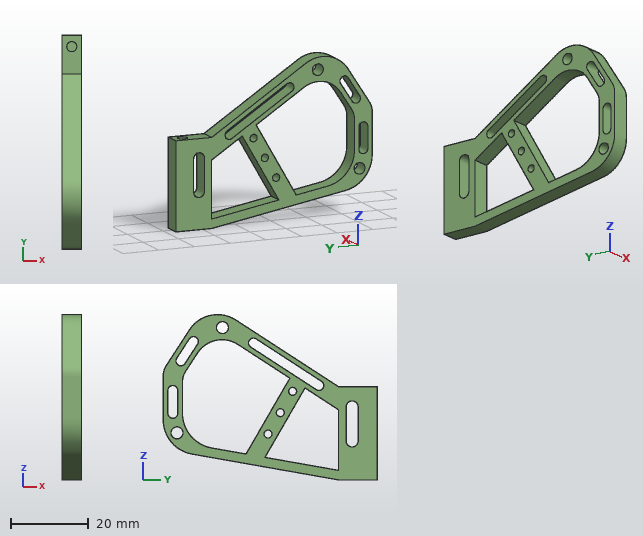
import cadquery as cq
import math

THICKNESS = 5.0
LENGTH = 55.0
MOUNT_DEPTH = 10.0
MOUNT_HEIGHT = 24.0
TOP_BAR_LENGTH = 40.0
TOP_BAR_ANGLE = 33.0
BOTTOM_BAR_ANGLE = 10.0
BAR_WIDTH = 5.0
BOTTOM_BAR_WIDTH = 2.5

APEX_RADIUS = 8.6
INNER_APEX_RADIUS = 7.5
HEEL_RADIUS = 9.0
NOSE_RADIUS = 5.0

BRACE_WIDTH = 4.7
BRACE_ANGLE = -60.0
BRACE_CENTER = (24.9, 17.25)
BRACE_REACH = 82.5
BRACE_HOLE_DIAMETER = 2.0
BRACE_HOLE_SPACING = 6.3

CORNER_HOLE_DIAMETER = 3.0
CORNER_HOLES = [(39.75, 39.1), (51.4, 12.1)]
BAR_SLOT_WIDTH = 2.5
TOP_SLOT_SPAN = (4.35, 24.35)
NOSE_SLOT_SPAN = (10.55, 16.5)
END_SLOT_HEIGHTS = (17.1, 23.0)
MOUNT_SLOT_WIDTH = 3.0
MOUNT_SLOT_DISTANCE = 6.5
MOUNT_SLOT_HEIGHTS = (10.0, 18.75)
MOUNT_HOLE_DIAMETER = 2.6
MOUNT_HOLE_DISTANCE = 2.95
MOUNT_HOLE_DEPTH = 10.0


def travel(point, angle, along, left=0.0):
    """Move from a point along a direction, then to the left of it."""
    a = math.radians(angle)
    return (
        point[0] + along * math.cos(a) - left * math.sin(a),
        point[1] + along * math.sin(a) + left * math.cos(a),
    )


def height_on_line(point, angle, distance):
    """Height of a sloping line at a given distance from the mounting face."""
    return point[1] + (distance - point[0]) * math.tan(math.radians(angle))


def extrude(sketch):
    """Extrude through the thickness, centered on X = 0."""
    return sketch.extrude(THICKNESS / 2, both=True)


def profile():
    return cq.Workplane(cq.Plane(origin=(0, 0, 0), xDir=(0, -1, 0), normal=(-1, 0, 0)))


def round_corner(body, corner, radius):
    """Round the edge along X that passes through a profile corner."""
    edge = cq.selectors.NearestToPointSelector((0, -corner[0], corner[1]))
    return body.edges("|X").edges(edge).fillet(radius)


def slot(start, end, width):
    """Round-ended slot between two end centers."""
    middle = ((start[0] + end[0]) / 2, (start[1] + end[1]) / 2)
    angle = math.degrees(math.atan2(end[1] - start[1], end[0] - start[0]))
    return extrude(profile().center(*middle).slot2D(math.dist(start, end) + width, width, angle))


def holes(centers, diameter):
    return extrude(profile().pushPoints(centers).circle(diameter / 2))


NOSE_ANGLE = TOP_BAR_ANGLE - 90
mount_top = (MOUNT_DEPTH, MOUNT_HEIGHT)
mount_bottom = (MOUNT_DEPTH, 0.0)
apex = travel(mount_top, TOP_BAR_ANGLE, TOP_BAR_LENGTH)


def outer_body():
    nose = (LENGTH, height_on_line(apex, NOSE_ANGLE, LENGTH))
    heel = (LENGTH, height_on_line(mount_bottom, BOTTOM_BAR_ANGLE, LENGTH))
    outline = [(0, 0), mount_bottom, heel, nose, apex, mount_top, (0, MOUNT_HEIGHT)]
    body = extrude(profile().polyline(outline).close())
    body = round_corner(body, apex, APEX_RADIUS)
    body = round_corner(body, nose, NOSE_RADIUS)
    return round_corner(body, heel, HEEL_RADIUS)


def window():
    """Opening inside the bars, split in two by the diagonal brace."""
    inner_end = LENGTH - BAR_WIDTH
    top_line = travel(mount_top, TOP_BAR_ANGLE, 0, -BAR_WIDTH)
    bottom_line = travel(mount_bottom, BOTTOM_BAR_ANGLE, 0, BOTTOM_BAR_WIDTH)
    inner_apex = travel(apex, TOP_BAR_ANGLE, -BAR_WIDTH, -BAR_WIDTH)
    inner_nose = (inner_end, height_on_line(inner_apex, NOSE_ANGLE, inner_end))
    inner_heel = (inner_end, height_on_line(bottom_line, BOTTOM_BAR_ANGLE, inner_end))
    inner_bottom = (MOUNT_DEPTH, height_on_line(bottom_line, BOTTOM_BAR_ANGLE, MOUNT_DEPTH))
    inner_top = (MOUNT_DEPTH, height_on_line(top_line, TOP_BAR_ANGLE, MOUNT_DEPTH))
    outline = [inner_bottom, inner_heel, inner_nose, inner_apex, inner_top]
    opening = extrude(profile().polyline(outline).close())
    opening = round_corner(opening, inner_apex, INNER_APEX_RADIUS)
    opening = round_corner(opening, inner_nose, NOSE_RADIUS)
    opening = round_corner(opening, inner_heel, HEEL_RADIUS)

    brace_plane = profile().center(*BRACE_CENTER).transformed(rotate=(0, 0, BRACE_ANGLE))
    return opening.cut(extrude(brace_plane.rect(BRACE_REACH, BRACE_WIDTH)))


def bar_slots():
    """Slots on the center lines of the top, nose and end bars."""
    inset = -BAR_WIDTH / 2
    top_ends = [travel(mount_top, TOP_BAR_ANGLE, along, inset) for along in TOP_SLOT_SPAN]
    nose_ends = [travel(apex, NOSE_ANGLE, along, inset) for along in NOSE_SLOT_SPAN]
    end_ends = [(LENGTH + inset, height) for height in END_SLOT_HEIGHTS]
    return [slot(start, end, BAR_SLOT_WIDTH) for start, end in (top_ends, nose_ends, end_ends)]


def mount_slot():
    start, end = [(MOUNT_SLOT_DISTANCE, height) for height in MOUNT_SLOT_HEIGHTS]
    return slot(start, end, MOUNT_SLOT_WIDTH)


def mount_hole():
    """Blind hole down into the top of the mount."""
    top = cq.Workplane("XY", origin=(0, -MOUNT_HOLE_DISTANCE, MOUNT_HEIGHT))
    return top.circle(MOUNT_HOLE_DIAMETER / 2).extrude(-MOUNT_HOLE_DEPTH)


brace_holes = [travel(BRACE_CENTER, BRACE_ANGLE, step * BRACE_HOLE_SPACING) for step in (-1, 0, 1)]

result = outer_body().cut(window())
for cutter in bar_slots():
    result = result.cut(cutter)
result = result.cut(mount_slot())
result = result.cut(mount_hole())
result = result.cut(holes(CORNER_HOLES, CORNER_HOLE_DIAMETER))
result = result.cut(holes(brace_holes, BRACE_HOLE_DIAMETER))